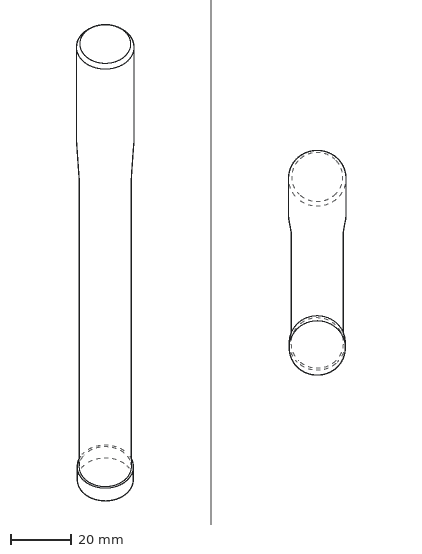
import cadquery as cq
import math

total_length = 227.3
shank_length = 50.0
taper_length = 20.0
head_length = 10.0

shank_diameter = 19.0
neck_diameter = 17.3
head_diameter = 18.6

shank_chamfer = 1.5
chamfer_inset = 1.1
point_angle = 140.0

shank_radius = shank_diameter / 2
neck_radius = neck_diameter / 2
head_radius = head_diameter / 2
point_height = head_radius / math.tan(math.radians(point_angle / 2))

top_z = total_length / 2
tip_z = -total_length / 2
shank_bottom_z = top_z - shank_length
taper_bottom_z = shank_bottom_z - taper_length
head_top_z = tip_z + head_length


def revolve_profile(points):
    """Turn a closed (radius, height) outline around the Z axis."""
    return cq.Workplane("XZ").polyline(points).close().revolve(360, (0, 0, 0), (0, 1, 0))


def make_holder():
    """Chamfered shank that tapers down to the long neck."""
    return revolve_profile([
        (0, head_top_z),
        (neck_radius, head_top_z),
        (neck_radius, taper_bottom_z),
        (shank_radius, shank_bottom_z),
        (shank_radius, top_z - shank_chamfer),
        (shank_radius - chamfer_inset, top_z),
        (0, top_z),
    ])


def make_cutting_head():
    """Short cylindrical head with a conical point, seated on the end of the neck."""
    return revolve_profile([
        (0, tip_z),
        (head_radius, tip_z + point_height),
        (head_radius, head_top_z),
        (0, head_top_z),
    ])


holder = make_holder()
cutting_head = make_cutting_head()

result = cq.Compound.makeCompound([holder.val(), cutting_head.val()])